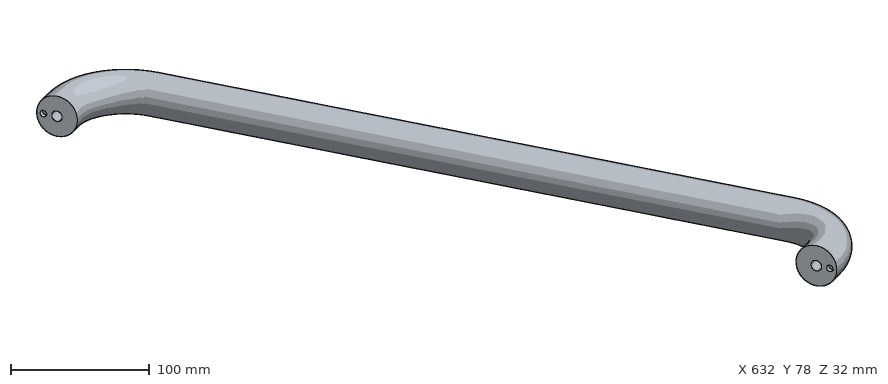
import cadquery as cq

length = 632.0
depth = 78.0
tube_diameter = 32.0
tube_radius = tube_diameter / 2

leg_length = 13.0
bend_radius = depth - tube_radius - leg_length

fixing_hole_diameter = 8.0
fixing_hole_depth = 13.0
pin_hole_diameter = 5.0
pin_hole_depth = 4.0
pin_hole_offset = 11.0

leg_x = length / 2 - tube_radius
bar_y = depth - tube_radius
bend_start_x = leg_x - bend_radius


def make_tube():
    """Sweep the round bar along one leg, the grip and the other leg."""
    path = (
        cq.Workplane("XY")
        .moveTo(-leg_x, 0)
        .lineTo(-leg_x, leg_length)
        .tangentArcPoint((-bend_start_x, bar_y), relative=False)
        .lineTo(bend_start_x, bar_y)
        .tangentArcPoint((leg_x, leg_length), relative=False)
        .lineTo(leg_x, 0)
    )
    return cq.Workplane("XZ", origin=(-leg_x, 0, 0)).circle(tube_radius).sweep(path)


def foot_hole(x, diameter, hole_depth):
    """Blind hole running in from a foot along +Y."""
    return cq.Workplane("XZ", origin=(x, 0, 0)).circle(diameter / 2).extrude(-hole_depth)


result = make_tube()
for side in (-1, 1):
    result = result.cut(foot_hole(side * leg_x, fixing_hole_diameter, fixing_hole_depth))
    pin_x = side * (leg_x + pin_hole_offset)
    result = result.cut(foot_hole(pin_x, pin_hole_diameter, pin_hole_depth))